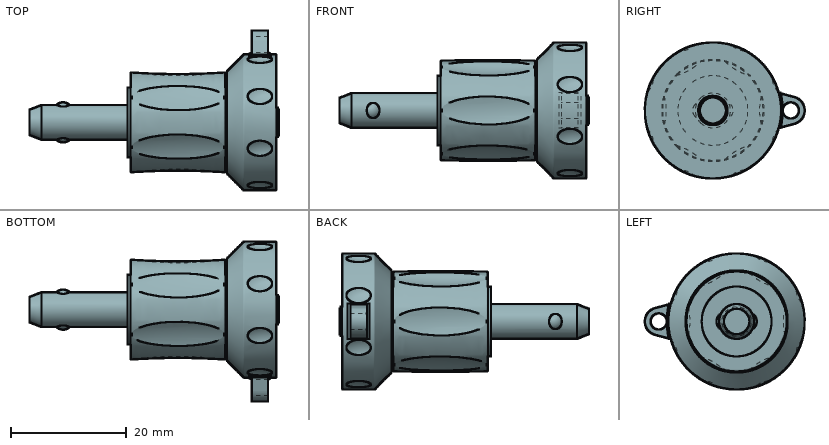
import cadquery as cq
import math

total_length = 43.2
pin_tip_length = 2.1
collar_start = 16.95
knob_start = 17.5
knob_end = 33.9
cap_start = 34.15
cap_end = 42.72
button_step = 43.0

pin_radius = 3.02
pin_tip_radius = 2.2
collar_radius = 6.05
knob_end_radius = 8.65
knob_middle_radius = 8.73
cap_front_radius = 8.85
cap_radius = 11.8
button_radius = 2.55
button_face_radius = 2.25

edge_round = 0.25

ball_station = 5.85
ball_radius = 1.5
ball_reach = 3.5

flute_count = 6
flute_floor_radius = 8.1
flute_half_length = 7.95
flute_cross_radius = 9.85

dimple_count = 8
dimple_station = 39.87
dimple_half_length = 2.1
dimple_depth = 0.4
dimple_cross_radius = 3.5

cutter_overrun = 1.1

tab_station = 39.87
tab_thickness = 2.85
tab_end_radius = 2.4
tab_hole_radius = 1.4
tab_end_y = 15.9
tab_root_y = 11.35
tab_root_half_height = 3.05
tab_inner_y = 10.35
weld_width = 0.48
weld_height = 0.3


def turned(start, end, radius):
    return cq.Workplane("YZ").workplane(offset=start).circle(radius).extrude(end - start)


def spun(profile):
    return profile.close().revolve(360, (0, 0, 0), (1, 0, 0))


def make_pin():
    pin = spun(
        cq.Workplane("XY")
        .lineTo(0, pin_tip_radius)
        .lineTo(pin_tip_length, pin_radius)
        .lineTo(knob_end, pin_radius)
        .lineTo(knob_end, 0)
    )
    for side in (1, -1):
        center_y = side * (ball_reach - ball_radius)
        pin = pin.union(cq.Workplane("XY").sphere(ball_radius).translate((ball_station, center_y, 0)))
    return pin


def around_axis(body, angle):
    return body.rotate((0, 0, 0), (1, 0, 0), angle)


def barrel_cutter(station, half_length, surface_radius, floor_radius, cross_radius):
    """Barrel parallel to X whose widest section touches the floor of the hollow it cuts."""
    depth = surface_radius - floor_radius
    arc_radius = (half_length**2 + depth**2) / (2 * depth)
    end_x = half_length * cutter_overrun
    end_radius = cross_radius - arc_radius + math.sqrt(arc_radius**2 - end_x**2)
    barrel = spun(
        cq.Workplane("XY")
        .moveTo(-end_x, 0)
        .lineTo(-end_x, end_radius)
        .threePointArc((0, cross_radius), (end_x, end_radius))
        .lineTo(end_x, 0)
    )
    return barrel.translate((station, floor_radius + cross_radius, 0))


def make_knob():
    knob_middle = (knob_start + knob_end) / 2
    knob = spun(
        cq.Workplane("XY")
        .moveTo(knob_start, 0)
        .lineTo(knob_start, knob_end_radius)
        .threePointArc((knob_middle, knob_middle_radius), (knob_end, knob_end_radius))
        .lineTo(knob_end, 0)
    )
    knob = knob.faces("<X or >X").edges().fillet(edge_round)
    cutter = barrel_cutter(
        knob_middle, flute_half_length, knob_end_radius, flute_floor_radius, flute_cross_radius
    )
    for index in range(flute_count):
        knob = knob.cut(around_axis(cutter, index * 360 / flute_count))
    return knob


def make_cap():
    cone_end = cap_start + cap_radius - cap_front_radius
    cap = spun(
        cq.Workplane("XY")
        .moveTo(cap_start, 0)
        .lineTo(cap_start, cap_front_radius)
        .lineTo(cone_end, cap_radius)
        .lineTo(cap_end, cap_radius)
        .lineTo(cap_end, 0)
    )
    cap = cap.edges(cq.selectors.RadiusNthSelector(-1)).fillet(edge_round)
    cutter = barrel_cutter(
        dimple_station, dimple_half_length, cap_radius, cap_radius - dimple_depth, dimple_cross_radius
    )
    pitch = 360 / dimple_count
    for index in range(dimple_count):
        cap = cap.cut(around_axis(cutter, (index + 0.5) * pitch))
    return cap


def make_tab():
    hole_y = tab_end_y - tab_end_radius
    root_depth = hole_y - tab_root_y
    root_distance = math.hypot(root_depth, tab_root_half_height)
    tangent_angle = math.atan2(tab_root_half_height, -root_depth) - math.acos(tab_end_radius / root_distance)
    tangent_y = hole_y + tab_end_radius * math.cos(tangent_angle)
    tangent_z = tab_end_radius * math.sin(tangent_angle)
    tab = (
        cq.Workplane("YZ")
        .moveTo(tab_inner_y, -tab_root_half_height)
        .lineTo(tab_root_y, -tab_root_half_height)
        .lineTo(tangent_y, -tangent_z)
        .threePointArc((tab_end_y, 0), (tangent_y, tangent_z))
        .lineTo(tab_root_y, tab_root_half_height)
        .lineTo(tab_inner_y, tab_root_half_height)
        .close()
        .extrude(tab_thickness / 2, both=True)
    )
    half_tab = tab_thickness / 2
    band = spun(
        cq.Workplane("XY")
        .moveTo(-half_tab - weld_width, tab_inner_y)
        .lineTo(-half_tab - weld_width, cap_radius)
        .lineTo(-half_tab, cap_radius + weld_height)
        .lineTo(half_tab, cap_radius + weld_height)
        .lineTo(half_tab + weld_width, cap_radius)
        .lineTo(half_tab + weld_width, tab_inner_y)
    )
    band_limit = (
        cq.Workplane("XZ")
        .rect(2 * tab_thickness, 2 * tab_root_half_height)
        .extrude(-tab_end_y)
    )
    weld = band.intersect(band_limit)
    hole = cq.Workplane("YZ").center(hole_y, 0).circle(tab_hole_radius).extrude(tab_thickness, both=True)
    return tab.union(weld).cut(hole).translate((tab_station, 0, 0))


def make_button():
    return turned(cap_end, button_step, button_radius).union(
        turned(button_step, total_length, button_face_radius)
    )


collar_and_neck = turned(collar_start, cap_start, collar_radius)
result = (
    make_pin()
    .union(collar_and_neck)
    .union(make_knob())
    .union(make_cap())
    .union(make_tab())
    .union(make_button())
)